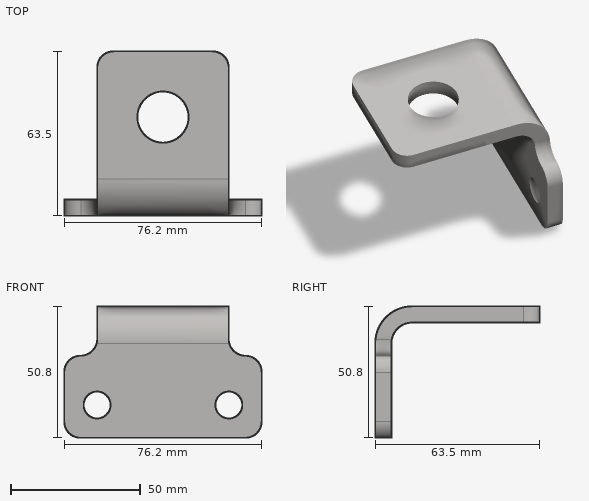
import cadquery as cq

plate_width = 76.2
thickness = plate_width / 12
corner_radius = thickness
plate_height = 5 * thickness
flange_width = 8 * thickness
depth = 10 * thickness
height = 8 * thickness
bend_inner_radius = 7.9
bend_outer_radius = bend_inner_radius + thickness
mount_hole_diameter = 10.3
mount_hole_spacing = flange_width
mount_hole_height = 2 * thickness
flange_hole_diameter = 19.65
flange_hole_edge_distance = 4 * thickness


def bent_sheet():
    """Full-width L-shaped sheet: upright plate at Y = 0, flange along the top."""
    return (
        cq.Workplane("YZ")
        .moveTo(0, 0)
        .lineTo(0, height - bend_outer_radius)
        .radiusArc((bend_outer_radius, height), bend_outer_radius)
        .lineTo(depth, height)
        .lineTo(depth, height - thickness)
        .lineTo(bend_outer_radius, height - thickness)
        .radiusArc((thickness, height - bend_outer_radius), -bend_inner_radius)
        .lineTo(thickness, 0)
        .close()
        .extrude(plate_width / 2, both=True)
    )


def front_outline():
    """Prism along Y: wide plate below, narrow neck above, all corners rounded."""
    plate = cq.Workplane("XY").box(plate_width, depth, plate_height, centered=(True, False, False))
    neck = cq.Workplane("XY").box(flange_width, depth, height, centered=(True, False, False))
    shoulder_span = (plate_width - flange_width) / 2
    neck_radius = shoulder_span - corner_radius
    plate = plate.edges("|Y").fillet(corner_radius)
    outline = plate.union(neck)
    for side in (-1, 1):
        neck_side = side * flange_width / 2
        web = (
            cq.Workplane("XZ")
            .moveTo(neck_side, plate_height)
            .lineTo(neck_side + side * neck_radius, plate_height)
            .radiusArc((neck_side, plate_height + neck_radius), side * neck_radius)
            .close()
            .extrude(-depth)
        )
        outline = outline.union(web)
    return outline


def mounting_holes():
    """Pair of holes through the upright plate."""
    half_spacing = mount_hole_spacing / 2
    return (
        cq.Workplane("XZ")
        .pushPoints([(-half_spacing, mount_hole_height), (half_spacing, mount_hole_height)])
        .circle(mount_hole_diameter / 2)
        .extrude(-thickness)
    )


def flange_hole():
    """Large hole through the flange."""
    return (
        cq.Workplane("XY", origin=(0, depth - flange_hole_edge_distance, height - thickness))
        .circle(flange_hole_diameter / 2)
        .extrude(thickness)
    )


bracket = bent_sheet().intersect(front_outline())
bracket = bracket.faces(">Y").edges("|Z").fillet(corner_radius)
result = bracket.cut(mounting_holes()).cut(flange_hole())